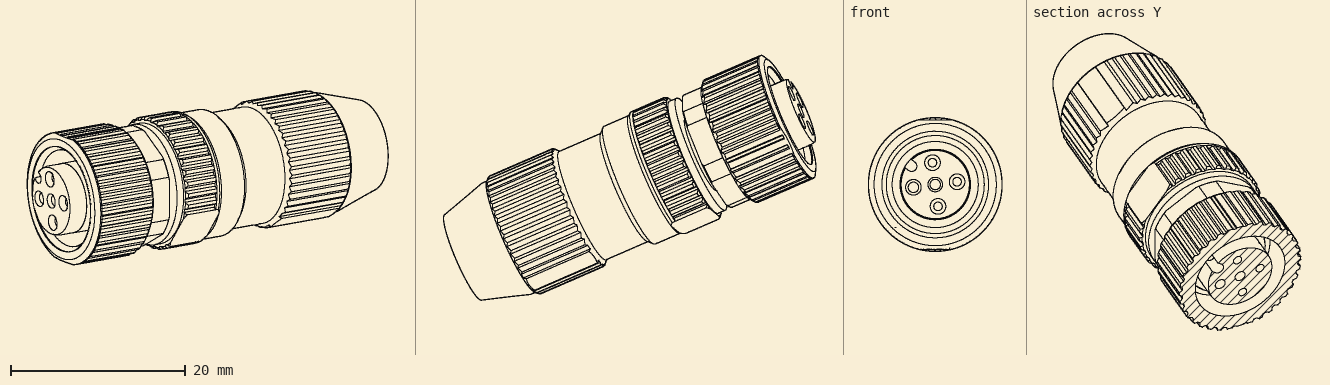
import cadquery as cq
import math

LENGTH = 42.65

INSERT_FRONT_DIA = 8.0
INSERT_DIA = 8.05
INSERT_EDGE_DIA = 7.8
INSERT_CHAMFER_LENGTH = 0.43
INSERT_STEP = 2.2
INSERT_TURN = 7.2
CONTACT_CIRCLE_RADIUS = 2.5
CONTACT_DEPTH = 5.1
CENTRE_CONTACT = (1.2, 1.65, 0.43)
WIDE_CONTACT = (1.2, 1.8, 0.43)
NARROW_CONTACT = (1.0, 1.8, 0.65)
KEYWAY_ANGLE = 135.0 + INSERT_TURN
KEYWAY_DIA = 1.2
KEYWAY_RADIUS = 3.4
KEYWAY_LENGTH = 5.1

SOCKET_DIA = 11.2
SOCKET_MOUTH_DIA = 12.2
SOCKET_LIP_LENGTH = 0.13
SOCKET_MOUTH_LENGTH = 0.75
SOCKET_FLOOR = 6.82
SOCKET_BEAD = 0.9

GRIP_DIA = 15.3
NUT_FRONT = 1.35
NUT_EDGE_DIA = 14.0
NUT_CHAMFER_END = 1.75
NUT_TEETH_FRONT = 1.9
NUT_REAR_CHAMFER = 0.5
NUT_TEETH_REAR = 9.35
NUT_REAR_EDGE_DIA = 14.1
NUT_FLAT_HEIGHT = 14.8
HEX_REAR = 11.9
HEX_ACROSS_FLATS = 13.05
HEX_CORNER_DIA = 14.0
HEX_CHAMFER = 0.13

NECK_REAR_DIA = 9.05
NECK_FRONT_DIA = 10.0
NECK_NOTCH_DEPTH = 0.1
NECK_NOTCH_START = 80.0
NECK_NOTCH_END = 113.0

COLLAR_LIP_FRONT = 12.62
COLLAR_LIP_DIA = 14.0
COLLAR_FRONT = 13.5
COLLAR_FRONT_CHAMFER = 0.25
COLLAR_TEETH_REAR = 17.65
COLLAR_BAND_REAR = 18.05
COLLAR_REAR = 18.45
COLLAR_FLAT_ANGLE = KEYWAY_ANGLE
COLLAR_ACROSS_FLATS = 14.15

TOOTH_COUNT = 36
TOOTH_DEPTH = 0.35
TOOTH_LAND = 0.43
TOOTH_ROOT = 0.35

SHELL_DIA = 14.7
SHELL_TAPER_FRONT = 21.62
SHELL_TAPER_REAR = 22.2
WAIST_DIA = 13.5

CLAMP_FRONT = 27.55
CLAMP_TEETH_FRONT = 28.15
CLAMP_TEETH_REAR = 36.1
CLAMP_REAR = 36.45
CLAMP_REAR_EDGE_DIA = 14.07
CLAMP_FLAT_ANGLE = 124.5
CLAMP_ACROSS_FLATS = 14.45
RIB_FOOT_ANGLE = 13.0
RIB_FIRST_ANGLE = 19.8
RIBS_PER_SIDE = 19
RIB_DEPTH = 0.2
RIB_DROP_ANGLE = 3.2

TAIL_DIA = 13.9
TAIL_CONE_FRONT = 37.2
TAIL_END_DIA = 10.65


def polar(radius, angle):
    """Point at an angle in degrees in the XZ plane."""
    turn = math.radians(angle)
    return (radius * math.cos(turn), radius * math.sin(turn))


def plane_at(station):
    """XZ plane at a station, facing the front of the connector."""
    return cq.Workplane("XZ", origin=(0, station, 0))


def turned(sections):
    """Solid of revolution through (station, diameter) pairs."""
    points = [(diameter / 2, station) for station, diameter in sections]
    outline = [(0, sections[0][0])] + points + [(0, sections[-1][0])]
    return cq.Workplane("XY").polyline(outline).close().revolve(360, (0, 0), (0, 1))


def prism(outline, front, rear):
    """Closed XZ outline extruded between two stations."""
    return plane_at(rear).polyline(outline).close().extrude(rear - front)


def between_flats(front, rear, across, angle):
    """Slab that leaves two parallel flats facing the given angle."""
    slab = plane_at(rear).rect(across, 2 * GRIP_DIA).extrude(rear - front)
    return slab.rotate((0, 0, 0), (0, 1, 0), -angle)


def with_flats(toothed, blank, front, rear, dia, across, angle):
    """Toothed ring with two smooth parallel flats, the teeth left out across them."""
    flat_width = math.sqrt(dia**2 - across**2)
    bar = plane_at(rear).rect(2 * dia, flat_width).extrude(rear - front)
    pads = blank.intersect(bar.rotate((0, 0, 0), (0, 1, 0), -angle))
    return toothed.union(pads).intersect(between_flats(front, rear, across, angle))


def toothed_outline(first_land_angle):
    """Straight teeth with a flat land and a flat root."""
    tip_radius = GRIP_DIA / 2
    root_radius = tip_radius - TOOTH_DEPTH
    pitch = 360 / TOOTH_COUNT
    half_land = math.degrees(TOOTH_LAND / 2 / tip_radius)
    half_root = math.degrees(TOOTH_ROOT / 2 / root_radius)
    outline = []
    for tooth in range(TOOTH_COUNT):
        land = first_land_angle + tooth * pitch
        root = land + pitch / 2
        outline += [polar(tip_radius, land - half_land), polar(tip_radius, land + half_land)]
        outline += [polar(root_radius, root - half_root), polar(root_radius, root + half_root)]
    return outline


def ribbed_outline():
    """Sawtooth ribs on both sides of the first flat, each with its steep face away from it."""
    peak_radius = SHELL_DIA / 2
    root_radius = peak_radius - RIB_DEPTH
    pitch = (180 - 2 * RIB_FIRST_ANGLE) / (RIBS_PER_SIDE - 1)
    side = [(root_radius, RIB_FOOT_ANGLE)]
    for rib in range(RIBS_PER_SIDE):
        peak = RIB_FIRST_ANGLE + rib * pitch
        side += [(peak_radius, peak), (root_radius, peak + RIB_DROP_ANGLE)]
    side.append((root_radius, 180 - RIB_FOOT_ANGLE))
    left = [polar(radius, CLAMP_FLAT_ANGLE + offset) for radius, offset in side]
    right = [polar(radius, CLAMP_FLAT_ANGLE - offset) for radius, offset in reversed(side)]
    return left + right


def coupling_nut():
    ring = turned([(NUT_FRONT, NUT_EDGE_DIA), (NUT_CHAMFER_END, GRIP_DIA), (NUT_TEETH_FRONT, GRIP_DIA)])
    envelope = turned([
        (NUT_TEETH_FRONT, GRIP_DIA),
        (NUT_TEETH_REAR - NUT_REAR_CHAMFER, GRIP_DIA),
        (NUT_TEETH_REAR, NUT_REAR_EDGE_DIA),
    ])
    teeth = prism(toothed_outline(0), NUT_TEETH_FRONT, NUT_TEETH_REAR).intersect(envelope)
    flats = between_flats(NUT_FRONT, NUT_TEETH_REAR, NUT_FLAT_HEIGHT, 90)
    return ring.union(teeth).intersect(flats)


def nut_hexagon():
    blank = turned([
        (NUT_TEETH_REAR, HEX_CORNER_DIA),
        (HEX_REAR - HEX_CHAMFER, HEX_CORNER_DIA),
        (HEX_REAR, HEX_CORNER_DIA - 2 * HEX_CHAMFER),
    ])
    for angle in (0, 60, 120):
        blank = blank.intersect(between_flats(NUT_TEETH_REAR, HEX_REAR, HEX_ACROSS_FLATS, angle))
    return blank


def neck():
    cone = turned([(HEX_REAR, NECK_FRONT_DIA), (COLLAR_LIP_FRONT, NECK_REAR_DIA)])
    core = turned([
        (HEX_REAR, NECK_FRONT_DIA - 2 * NECK_NOTCH_DEPTH),
        (COLLAR_LIP_FRONT, NECK_REAR_DIA - 2 * NECK_NOTCH_DEPTH),
    ])
    wedge_outline = [(0, 0), polar(NECK_FRONT_DIA, NECK_NOTCH_START), polar(NECK_FRONT_DIA, NECK_NOTCH_END)]
    wedge = prism(wedge_outline, HEX_REAR, COLLAR_LIP_FRONT)
    return cone.cut(wedge.cut(core))


def collar():
    envelope = turned([
        (COLLAR_FRONT, GRIP_DIA - 2 * COLLAR_FRONT_CHAMFER),
        (COLLAR_FRONT + COLLAR_FRONT_CHAMFER, GRIP_DIA),
        (COLLAR_TEETH_REAR, GRIP_DIA),
    ])
    outline = toothed_outline(COLLAR_FLAT_ANGLE)
    teeth = prism(outline, COLLAR_FRONT, COLLAR_TEETH_REAR).intersect(envelope)
    band = turned([(COLLAR_TEETH_REAR, GRIP_DIA), (COLLAR_BAND_REAR, GRIP_DIA), (COLLAR_REAR, SHELL_DIA)])
    lip = turned([(COLLAR_LIP_FRONT, COLLAR_LIP_DIA), (COLLAR_FRONT, COLLAR_LIP_DIA)])
    ring = with_flats(
        teeth.union(band),
        envelope,
        COLLAR_FRONT,
        COLLAR_REAR,
        GRIP_DIA,
        COLLAR_ACROSS_FLATS,
        COLLAR_FLAT_ANGLE,
    )
    return ring.union(lip)


def shell():
    return turned([
        (COLLAR_REAR, SHELL_DIA),
        (SHELL_TAPER_FRONT, SHELL_DIA),
        (SHELL_TAPER_REAR, WAIST_DIA),
        (CLAMP_FRONT, WAIST_DIA),
    ])


def clamping_grip():
    envelope = turned([
        (CLAMP_FRONT, WAIST_DIA),
        (CLAMP_TEETH_FRONT, SHELL_DIA),
        (CLAMP_TEETH_REAR, SHELL_DIA),
        (CLAMP_REAR, CLAMP_REAR_EDGE_DIA),
    ])
    ribs = prism(ribbed_outline(), CLAMP_FRONT, CLAMP_REAR).intersect(envelope)
    return with_flats(
        ribs,
        envelope,
        CLAMP_FRONT,
        CLAMP_REAR,
        SHELL_DIA,
        CLAMP_ACROSS_FLATS,
        CLAMP_FLAT_ANGLE,
    )


def tail():
    return turned([(CLAMP_REAR, TAIL_DIA), (TAIL_CONE_FRONT, TAIL_DIA), (LENGTH, TAIL_END_DIA)])


def socket():
    """Ring-shaped space around the insert, with a quarter-round bead at the foot of the insert."""
    insert_radius = INSERT_DIA / 2
    bead_middle = SOCKET_BEAD * math.sqrt(0.5)
    profile = (
        cq.Workplane("XY")
        .moveTo(insert_radius, NUT_FRONT)
        .lineTo(SOCKET_MOUTH_DIA / 2, NUT_FRONT)
        .lineTo(SOCKET_MOUTH_DIA / 2, NUT_FRONT + SOCKET_LIP_LENGTH)
        .lineTo(SOCKET_DIA / 2, NUT_FRONT + SOCKET_MOUTH_LENGTH)
        .lineTo(SOCKET_DIA / 2, SOCKET_FLOOR)
        .lineTo(insert_radius + SOCKET_BEAD, SOCKET_FLOOR)
        .threePointArc(
            (insert_radius + bead_middle, SOCKET_FLOOR - bead_middle),
            (insert_radius, SOCKET_FLOOR - SOCKET_BEAD),
        )
        .close()
    )
    return profile.revolve(360, (0, 0), (0, 1))


def insert():
    return turned([
        (0, INSERT_EDGE_DIA),
        (INSERT_CHAMFER_LENGTH, INSERT_FRONT_DIA),
        (INSERT_STEP, INSERT_FRONT_DIA),
        (INSERT_STEP, INSERT_DIA),
        (SOCKET_FLOOR, INSERT_DIA),
    ])


def contact_hole(place, sizes):
    """Blind hole with a conical lead-in at a place in the XZ plane."""
    hole_dia, mouth_dia, lead_length = sizes
    hole = turned([(0, mouth_dia), (lead_length, hole_dia), (CONTACT_DEPTH, hole_dia)])
    return hole.translate((place[0], 0, place[1]))


def keyway():
    """Round-bottomed groove along the insert, open to the outside."""
    base = plane_at(KEYWAY_LENGTH)
    bottom = base.center(KEYWAY_RADIUS, 0).circle(KEYWAY_DIA / 2).extrude(KEYWAY_LENGTH)
    opening_centre = KEYWAY_RADIUS + KEYWAY_DIA / 2
    opening = base.center(opening_centre, 0).rect(KEYWAY_DIA, KEYWAY_DIA).extrude(KEYWAY_LENGTH)
    return bottom.union(opening).rotate((0, 0, 0), (0, 1, 0), -KEYWAY_ANGLE)


result = coupling_nut().cut(socket())
for section in (nut_hexagon(), neck(), collar(), shell(), clamping_grip(), tail()):
    result = result.union(section)

core_bore = turned([(NUT_FRONT, INSERT_DIA), (SOCKET_FLOOR, INSERT_DIA)])
result = result.cut(core_bore).union(insert()).cut(keyway())

result = result.cut(contact_hole((0, 0), CENTRE_CONTACT))
for quarter, sizes in enumerate((NARROW_CONTACT, NARROW_CONTACT, WIDE_CONTACT, NARROW_CONTACT)):
    contact_place = polar(CONTACT_CIRCLE_RADIUS, 90 * quarter + INSERT_TURN)
    result = result.cut(contact_hole(contact_place, sizes))